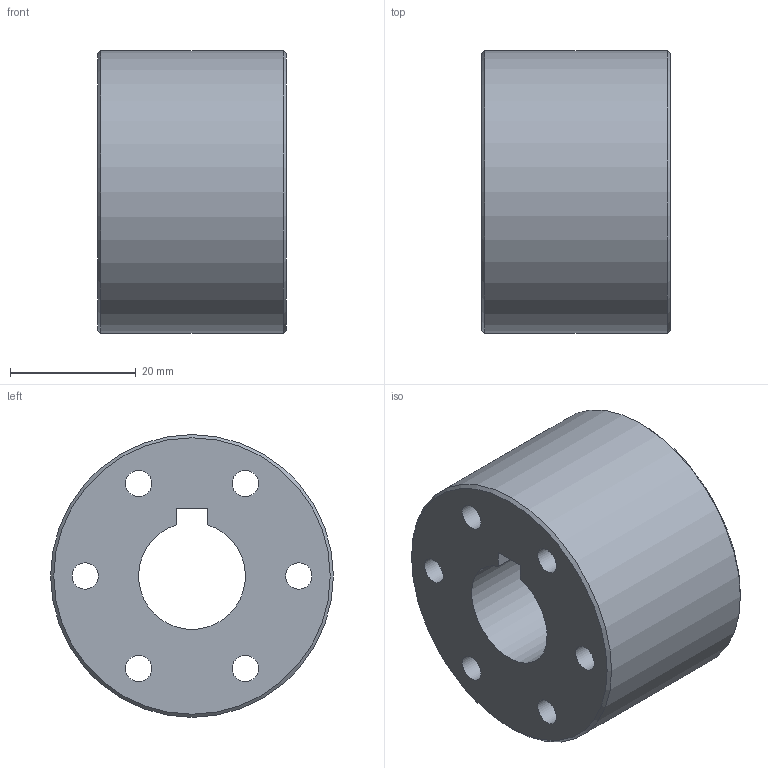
import cadquery as cq

length = 30.0
outer_diameter = 45.0
edge_chamfer = 0.5

bore_diameter = 17.0
key_width = 5.0
key_depth = 2.3

bolt_count = 6
bolt_hole_diameter = 4.2
bolt_circle_diameter = 34.0


def end_plane():
    """Workplane on the -X end face; local x is +Y and local y is +Z."""
    return cq.Workplane("YZ", origin=(-length / 2, 0, 0))


def make_body():
    """Cylinder centred on the origin, chamfered around both end faces."""
    cylinder = end_plane().circle(outer_diameter / 2).extrude(length)
    return cylinder.faces("<X or >X").edges().chamfer(edge_chamfer)


def make_keyed_bore():
    """Through bore with a rectangular keyway on its +Z side."""
    bore = end_plane().circle(bore_diameter / 2).extrude(length)
    key_top = bore_diameter / 2 + key_depth
    keyway = cq.Workplane("XY").box(length, key_width, key_top, centered=(True, True, False))
    return bore.union(keyway)


def make_bolt_holes():
    """Through holes evenly spaced on the bolt circle, the first one on the +Y side."""
    return (
        end_plane()
        .polarArray(bolt_circle_diameter / 2, 0, 360, bolt_count)
        .circle(bolt_hole_diameter / 2)
        .extrude(length)
    )


result = make_body().cut(make_keyed_bore()).cut(make_bolt_holes())